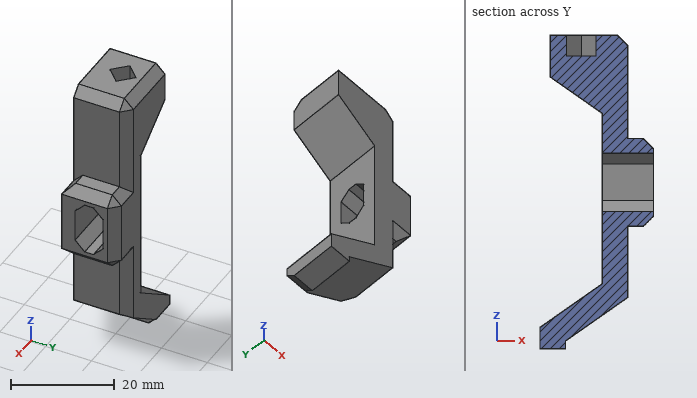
import cadquery as cq
import math

width = 12.0
total_height = 60.52
wall_back_x = 17.0
wall_thickness = 5.0
slope_angle = 35.0
edge_chamfer = 2.0

head_front_x = 2.0
head_lip_height = 8.1

foot_tip_length = 5.0
foot_front_height = 4.12
foot_back_height = 1.5

boss_length = 4.97
boss_height = 17.0
boss_center_z = 32.1

slot_width = 6.1
slot_height = 11.2
slot_corner = 2.1

socket_side = 4.0
socket_depth = 4.0
socket_x = 8.0

slope = math.tan(math.radians(slope_angle))
center_y = width / 2
wall_front_x = wall_back_x - wall_thickness


def make_body():
    """Side profile swept across the width, with chamfers around the +Y side of the back."""
    head_lip_z = total_height - head_lip_height
    profile = [
        (0, 0),
        (foot_tip_length, 0),
        (foot_tip_length, foot_back_height),
        (wall_back_x, foot_back_height + slope * (wall_back_x - foot_tip_length)),
        (wall_back_x, total_height),
        (head_front_x, total_height),
        (head_front_x, head_lip_z),
        (wall_front_x, head_lip_z - slope * (wall_front_x - head_front_x)),
        (wall_front_x, foot_front_height + slope * wall_front_x),
        (0, foot_front_height),
    ]
    body = cq.Workplane("XZ").polyline(profile).close().extrude(-width)

    top_back_edge = body.faces(">Z").edges(">X")
    top_side_edge = body.faces(">Z").edges(">Y")
    back_side_edge = body.faces(">X").edges(">Y")
    return body.newObject(
        top_back_edge.vals() + top_side_edge.vals() + back_side_edge.vals()
    ).chamfer(edge_chamfer)


def make_foot_chamfer_cut():
    """Triangular prism that bevels the bottom +Y edge of the foot."""
    return (
        cq.Workplane("YZ")
        .polyline([(width, 0), (width, edge_chamfer), (width - edge_chamfer, 0)])
        .close()
        .extrude(wall_back_x)
    )


def make_boss():
    """Block rooted in the wall, chamfered on its long edges and on three end edges."""
    length_in_wall = wall_thickness / 2
    boss = cq.Workplane().box(
        boss_length + length_in_wall, width, boss_height, centered=(False, False, True)
    ).translate((wall_back_x - length_in_wall, 0, boss_center_z))
    long_edges = boss.edges("|X")
    end_edges = boss.faces(">X").edges("not(<Y)")
    return boss.newObject(long_edges.vals() + end_edges.vals()).chamfer(edge_chamfer)


def make_slot_cut():
    """Upright rectangle with bevelled corners, cut along X through wall and boss."""
    cut_length = wall_thickness + boss_length
    return (
        cq.Workplane("YZ", origin=(wall_front_x, center_y, boss_center_z))
        .rect(slot_width, slot_height)
        .extrude(cut_length)
        .edges("|X")
        .chamfer(slot_corner)
    )


def make_socket_cut():
    """Blind square socket with its diagonals along X and Y."""
    return (
        cq.Workplane("XY", origin=(socket_x, center_y, total_height))
        .transformed(rotate=(0, 0, 45))
        .rect(socket_side, socket_side)
        .extrude(-socket_depth)
    )


result = (
    make_body()
    .cut(make_foot_chamfer_cut())
    .union(make_boss())
    .cut(make_slot_cut())
    .cut(make_socket_cut())
)